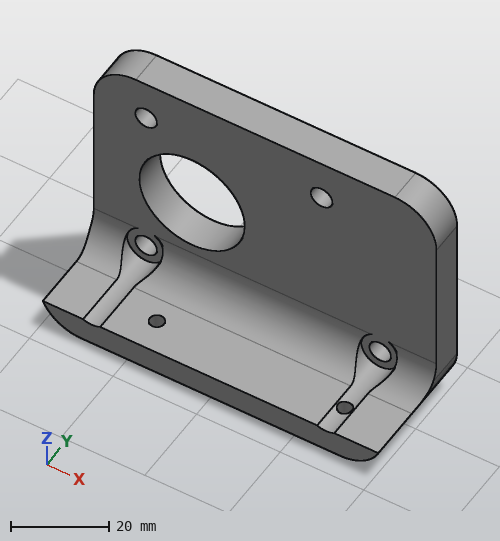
import cadquery as cq

width = 82.0
depth = 29.0
height = 58.0
plate_thickness = 8.0
flange_thickness = 6.0
corner_radius = 10.0
inner_fillet_radius = 8.0
plate_front = depth - plate_thickness

screw_diameter = 5.2
left_screw_x = 12.55
lower_right_screw_x = 68.55
upper_right_screw_x = 54.5
lower_screw_z = 10.0
upper_screw_z = 48.0
bore_diameter = 25.2
bore_x = 23.5
bore_z = height / 2
head_clearance_diameter = 9.0

pin_diameter = 3.4
pin_y = 7.5
pin_xs = (bore_x, lower_right_screw_x)


def cylinder_along_y(x, z, diameter, length):
    """Cylinder running from the front edge (Y = 0) towards the back."""
    start = cq.Vector(x, 0, z)
    return cq.Workplane(cq.Solid.makeCylinder(diameter / 2, length, start, cq.Vector(0, 1, 0)))


def make_bracket():
    """L-shaped bracket with a concave inner corner and rounded outline."""
    profile = (
        cq.Workplane("YZ")
        .moveTo(0, 0)
        .lineTo(depth, 0)
        .lineTo(depth, height)
        .lineTo(plate_front, height)
        .lineTo(plate_front, flange_thickness + inner_fillet_radius)
        .radiusArc((plate_front - inner_fillet_radius, flange_thickness), inner_fillet_radius)
        .lineTo(0, flange_thickness)
        .close()
        .extrude(width)
    )
    outline = (
        cq.Workplane("XY")
        .box(width, depth, height, centered=False)
        .edges("|Y")
        .fillet(corner_radius)
    )
    return profile.intersect(outline)


result = make_bracket()

for x, z in (
    (left_screw_x, lower_screw_z),
    (lower_right_screw_x, lower_screw_z),
    (left_screw_x, upper_screw_z),
    (upper_right_screw_x, upper_screw_z),
):
    result = result.cut(cylinder_along_y(x, z, screw_diameter, depth))

for x in (left_screw_x, lower_right_screw_x):
    result = result.cut(cylinder_along_y(x, lower_screw_z, head_clearance_diameter, plate_front))

result = result.cut(cylinder_along_y(bore_x, bore_z, bore_diameter, depth))

for x in pin_xs:
    pin_hole = cq.Workplane("XY").center(x, pin_y).circle(pin_diameter / 2).extrude(flange_thickness)
    result = result.cut(pin_hole)